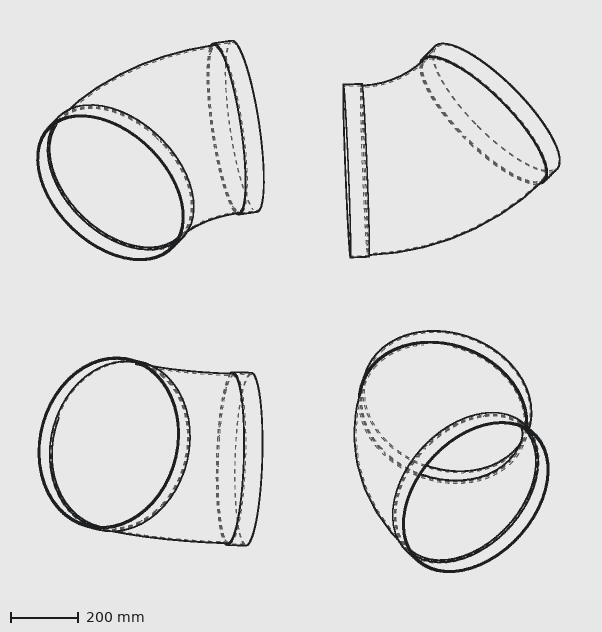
import cadquery as cq
import math

bend_angle = 45.0
bend_radius = 500.0
pipe_od = 500.0
wall = 5.0
collar_length = 55.0

pipe_id = pipe_od - 2 * wall
collar_od = pipe_od + 2 * wall
collar_id = pipe_od
lip_radius = wall
bend_start = (0.0, collar_length, 0.0)
bend_rad = math.radians(bend_angle)
inlet_direction = (0.0, -1.0, 0.0)
outlet_direction = (math.sin(bend_rad), math.cos(bend_rad), 0.0)
bend_end = (
    bend_radius * (1 - math.cos(bend_rad)),
    collar_length + bend_radius * math.sin(bend_rad),
    0.0,
)


def end_plane(origin, direction):
    """Plane across the pipe axis, with its normal pointing out of the elbow."""
    return cq.Plane(origin=origin, xDir=(0, 0, 1), normal=direction)


def bend(diameter):
    """Solid swept bend about a vertical axis lying at +X from the inlet."""
    axis_point = (bend_radius, 0)
    axis_point_below = (bend_radius, -1)
    return (
        cq.Workplane("XZ", origin=bend_start)
        .circle(diameter / 2)
        .revolve(bend_angle, axis_point, axis_point_below)
    )


def collar(plane):
    """Solid cylinder of a collar, running outwards from an end of the bend."""
    return cq.Workplane(plane).circle(collar_od / 2).extrude(collar_length)


def socket(plane):
    """Cutter for a collar bore, flaring from the pipe bore over a rounded lip."""
    lip_end = (collar_id / 2, lip_radius)
    profile = (
        cq.Workplane("XZ")
        .moveTo(0, 0)
        .lineTo(pipe_id / 2, 0)
        .radiusArc(lip_end, lip_radius)
        .lineTo(collar_id / 2, collar_length)
        .lineTo(0, collar_length)
        .close()
    )
    cutter = profile.revolve(axisStart=(0, 0), axisEnd=(0, 1)).val()
    return cutter.moved(cq.Location(plane))


inlet = end_plane(bend_start, inlet_direction)
outlet = end_plane(bend_end, outlet_direction)

outer = bend(pipe_od)
bore = bend(pipe_id)
for plane in (inlet, outlet):
    outer = outer.union(collar(plane))
    bore = bore.union(socket(plane))

result = outer.cut(bore)